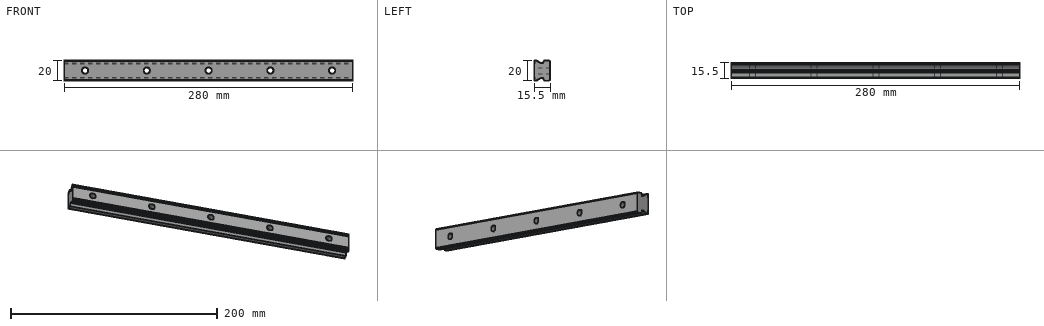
import cadquery as cq

length = 280.0
depth = 15.5
height = 20.0
back_y = depth / 2
front_y = -depth / 2
half_height = height / 2

front_chamfer = 1.0
back_chamfer = 0.8

slot_inner_z = 6.7
slot_outer_z = 8.7
slot_depth = 0.3

head_edge_y = 5.5
shoulder_y = 4.0
shoulder_drop = 1.0
groove_depth = 2.8
floor_half_width = 0.5
foot_edge_y = -2.1

hole_diameter = 6.0
hole_count = 5
hole_pitch = 60.0


def rail_profile():
    """Closed section outline, symmetric about the rail axis."""
    slot_y = back_y - slot_depth
    groove_z = half_height - groove_depth
    upper_half = [
        (front_y, half_height - front_chamfer),
        (front_y + front_chamfer, half_height),
        (foot_edge_y, half_height),
        (-floor_half_width, groove_z),
        (floor_half_width, groove_z),
        (shoulder_y, half_height - shoulder_drop),
        (head_edge_y, half_height),
        (back_y - back_chamfer, half_height),
        (back_y, half_height - back_chamfer),
        (back_y, slot_outer_z),
        (slot_y, slot_outer_z),
        (slot_y, slot_inner_z),
        (back_y, slot_inner_z),
    ]
    lower_half = [(y, -z) for y, z in reversed(upper_half)]
    return upper_half + lower_half


def rail_body():
    section = cq.Workplane("YZ").polyline(rail_profile()).close()
    return section.extrude(length / 2, both=True)


def mounting_holes():
    """Through holes along Y, centred on the rail."""
    return (
        cq.Workplane("XZ")
        .rarray(hole_pitch, 2.8, hole_count, 1)
        .circle(hole_diameter / 2)
        .extrude(depth, both=True)
    )


result = rail_body().cut(mounting_holes())